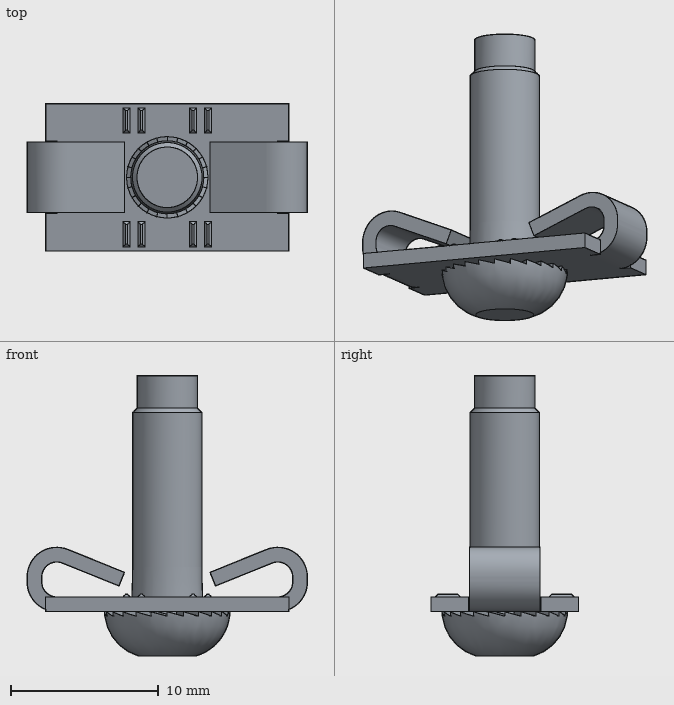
import cadquery as cq
import math

sheet_thickness = 1.0
plate_length = 16.5
plate_width = 10.0
plate_hole_radius = 2.75

overall_length = 19.0
tab_width = 4.79
tab_side_gap = 0.05
tab_inner_bend = 1.0
tab_outer_bend = tab_inner_bend + sheet_thickness
tab_rise = 0.35
tab_slope = math.radians(22)
tab_arm_length = 4.15
bend_center_x = overall_length / 2 - tab_outer_bend
upper_bend_z = tab_outer_bend + tab_rise

nub_width = 0.5
nub_length = 1.71
nub_height = 0.19
nub_side_angle = 45
nub_places_x = (1.75, 2.75)
nub_offset_y = 3.85

overall_height = 19.0
head_height = 3.0
head_radius = 4.25
head_flat_radius = 1.95
dome_radius = 3.23
shank_radius = 2.35
shank_end_z = overall_height - head_height
tip_radius = 2.05
tip_length = 2.2
tip_chamfer = shank_radius - tip_radius
neck_height = 3.0
neck_flare = 0.13

tooth_count = 24
tooth_depth = 0.3
tooth_angle = 2 * math.pi / tooth_count


def make_plate():
    """Flat sheet with the screw hole and the end slots that free the tabs."""
    plate = cq.Workplane("XY").box(plate_length, plate_width, sheet_thickness, centered=(True, True, False))
    plate = plate.cut(cq.Workplane("XY").circle(plate_hole_radius).extrude(sheet_thickness))
    slot_depth = plate_length / 2 - bend_center_x
    slot_width = tab_width + 2 * tab_side_gap
    for side in (-1, 1):
        slot_x = side * (bend_center_x + slot_depth / 2)
        slot = cq.Workplane("XY").center(slot_x, 0).rect(slot_depth, slot_width).extrude(sheet_thickness)
        plate = plate.cut(slot)
    return plate


def bend_point(radius, angle):
    """Point on the upper bend of the +X tab, with the angle measured from +Z toward -X."""
    return (bend_center_x - radius * math.sin(angle), upper_bend_z + radius * math.cos(angle))


def arm_end(radius):
    """Free end of the arm that leaves the upper bend at the given radius."""
    x, z = bend_point(radius, tab_slope)
    return (x - tab_arm_length * math.cos(tab_slope), z - tab_arm_length * math.sin(tab_slope))


def make_tab():
    """Curled tab at the +X end, as a sheet profile extruded across the width."""
    diagonal = math.sqrt(0.5)
    lower_bend_z = tab_outer_bend
    upper_mid_angle = (tab_slope - math.pi / 2) / 2
    profile = (
        cq.Workplane("XZ")
        .moveTo(bend_center_x, 0)
        .threePointArc(
            (bend_center_x + tab_outer_bend * diagonal, lower_bend_z - tab_outer_bend * diagonal),
            (bend_center_x + tab_outer_bend, lower_bend_z),
        )
        .lineTo(bend_center_x + tab_outer_bend, upper_bend_z)
        .threePointArc(bend_point(tab_outer_bend, upper_mid_angle), bend_point(tab_outer_bend, tab_slope))
        .lineTo(*arm_end(tab_outer_bend))
        .lineTo(*arm_end(tab_inner_bend))
        .lineTo(*bend_point(tab_inner_bend, tab_slope))
        .threePointArc(
            bend_point(tab_inner_bend, upper_mid_angle),
            (bend_center_x + tab_inner_bend, upper_bend_z),
        )
        .lineTo(bend_center_x + tab_inner_bend, lower_bend_z)
        .threePointArc(
            (bend_center_x + tab_inner_bend * diagonal, lower_bend_z - tab_inner_bend * diagonal),
            (bend_center_x, sheet_thickness),
        )
        .close()
    )
    return profile.extrude(tab_width / 2, both=True)


def make_nub(x, y):
    """Small raised bar with sloped sides on top of the plate."""
    base = cq.Workplane("XY", origin=(x, y, sheet_thickness)).rect(nub_width, nub_length)
    return base.extrude(nub_height, taper=nub_side_angle)


def make_clip():
    tab = make_tab()
    clip = make_plate().union(tab).union(tab.mirror("YZ"))
    for place_x in nub_places_x:
        for side_x in (-1, 1):
            for side_y in (-1, 1):
                clip = clip.union(make_nub(side_x * place_x, side_y * nub_offset_y))
    return clip


def make_head():
    """Domed head with a flat bottom and its top face at Z = 0."""
    profile = (
        cq.Workplane("XZ")
        .lineTo(head_radius, 0)
        .radiusArc((head_flat_radius, -head_height), dome_radius)
        .lineTo(0, -head_height)
        .close()
    )
    return profile.revolve(360, (0, 0, 0), (0, 1, 0))


def make_shank():
    """Stepped shank whose neck flares out along a large arc down to the tooth roots."""
    flare_height = neck_height + tooth_depth
    flare_radius = (flare_height ** 2 + neck_flare ** 2) / (2 * neck_flare)
    shoulder_z = shank_end_z - tip_length
    profile = (
        cq.Workplane("XZ")
        .moveTo(0, -tooth_depth)
        .lineTo(shank_radius + neck_flare, -tooth_depth)
        .radiusArc((shank_radius, neck_height), flare_radius)
        .lineTo(shank_radius, shoulder_z - tip_chamfer)
        .lineTo(tip_radius, shoulder_z)
        .lineTo(tip_radius, shank_end_z)
        .lineTo(0, shank_end_z)
        .close()
    )
    return profile.revolve(360, (0, 0, 0), (0, 1, 0))


def tooth_gap_section(radius):
    """Triangle at one radius: it starts at the top face and deepens counterclockwise."""
    end_x = radius * math.cos(tooth_angle)
    end_y = radius * math.sin(tooth_angle)
    depth = tooth_depth * radius / head_radius
    corners = [(radius, 0, 0), (end_x, end_y, 0), (end_x, end_y, -depth)]
    return cq.Wire.makePolygon([cq.Vector(*corner) for corner in corners], close=True)


def cut_teeth(head):
    """Ring of saw teeth around the head's top face; the gaps narrow toward the axis."""
    outer_radius = head_radius / math.cos(tooth_angle)
    gap = cq.Solid.makeLoft([tooth_gap_section(shank_radius), tooth_gap_section(outer_radius)], True)
    for index in range(tooth_count):
        turned_gap = gap.rotate(cq.Vector(0, 0, 0), cq.Vector(0, 0, 1), index * math.degrees(tooth_angle))
        head = head.cut(cq.Workplane(turned_gap))
    return head


def make_screw():
    return cut_teeth(make_head()).union(make_shank())


clip = make_clip()
screw = make_screw()

result = cq.Compound.makeCompound([clip.solids().val(), screw.solids().val()])